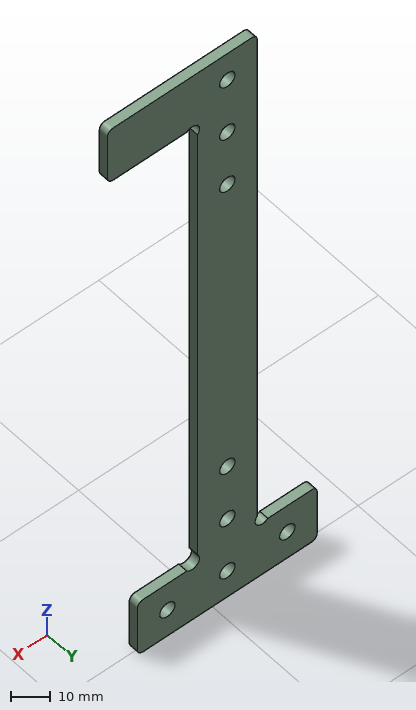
import cadquery as cq
import math

thickness = 3.17
height = 208.0
foot_width = 60.0
arm_reach = 70.0
band_width = 20.0
corner_radius = 2.0
relief_radius = 2.5

hole_diameter = 5.1
hole_pitch = 20.0
holes_per_stem_end = 3

foot_left = -foot_width / 2
foot_right = foot_width / 2
arm_right = foot_left + arm_reach
stem_left = -band_width / 2
stem_right = band_width / 2
foot_top = band_width
arm_bottom = height - band_width
foot_hole_z = band_width / 2
top_hole_z = height - band_width / 2

relief_leg = relief_radius * math.sqrt(2)

outer_corners = [
    (foot_left, 0),
    (foot_right, 0),
    (foot_right, foot_top),
    (arm_right, arm_bottom),
    (arm_right, height),
    (stem_left, height),
    (foot_left, foot_top),
]


def plate_plane():
    """Workplane on the Y = thickness face, extruding toward Y = 0."""
    return cq.Workplane("XZ", origin=(0, thickness, 0))


def make_blank():
    """Plate outline with a semicircular relief through each inside corner."""
    return (
        plate_plane()
        .moveTo(foot_left, 0)
        .lineTo(foot_right, 0)
        .lineTo(foot_right, foot_top)
        .lineTo(stem_right + relief_leg, foot_top)
        .threePointArc((stem_right, foot_top), (stem_right, foot_top + relief_leg))
        .lineTo(stem_right, arm_bottom - relief_leg)
        .threePointArc((stem_right, arm_bottom), (stem_right + relief_leg, arm_bottom))
        .lineTo(arm_right, arm_bottom)
        .lineTo(arm_right, height)
        .lineTo(stem_left, height)
        .lineTo(stem_left, foot_top + relief_leg)
        .threePointArc((stem_left, foot_top), (stem_left - relief_leg, foot_top))
        .lineTo(foot_left, foot_top)
        .close()
        .extrude(thickness)
    )


def round_outer_corners(plate):
    """Round each outer corner of the outline."""
    for x, z in outer_corners:
        corner_edge = cq.selectors.NearestToPointSelector((x, thickness / 2, z))
        plate = plate.edges("|Y").edges(corner_edge).fillet(corner_radius)
    return plate


def mounting_holes():
    """Rows of holes at both ends of the stem, and one hole at each side of the foot."""
    points = [(-hole_pitch, foot_hole_z), (hole_pitch, foot_hole_z)]
    for step in range(holes_per_stem_end):
        points.append((0, foot_hole_z + step * hole_pitch))
        points.append((0, top_hole_z - step * hole_pitch))
    return plate_plane().pushPoints(points).circle(hole_diameter / 2).extrude(thickness)


result = round_outer_corners(make_blank()).cut(mounting_holes())